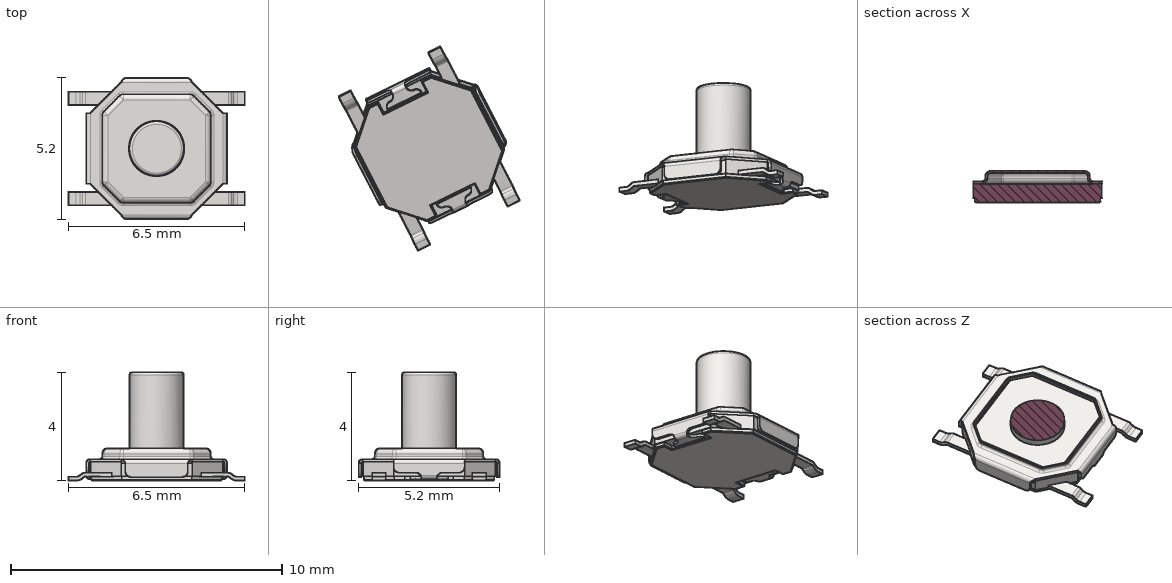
import cadquery as cq
import math


OVERALL_LENGTH = 6.5
OVERALL_WIDTH = 5.2
OVERALL_HEIGHT = 4.0

CORE_HALF = 2.445
FLAT_HALF = 1.305

SHEET = 0.105
PLATE_TOP = 0.8
DOME_TOP = 1.195
DOME_HALF = 2.0
DOME_RIM_RADIUS = 0.2
DOME_FOOT_RADIUS = 0.1
PLUNGER_HOLE_DIAMETER = 2.05

FLAP_CORNER_RADIUS = 0.2
CLIP_FLAP_BOTTOM = 0.3
PLAIN_FLAP_BOTTOM = 0.135
CLIP_BOTTOM = 0.05
CLIP_NECK_HALF = 0.28
CLIP_NECK_FILLET = 0.22
CLIP_HEAD_HALF = 0.7
CLIP_HEAD_CORNER = 0.2
CLIP_TIP = 2.0

FOOT_INSET = 0.04
FOOT_CHAMFER = 0.04
RECESS_HALF_WIDTH = 0.89
RECESS_BACK = 1.95

PLUNGER_DIAMETER = 2.0
PLUNGER_TIP_RADIUS = 0.1

LEAD_THICKNESS = 0.15
LEAD_RISE = 0.15
LEAD_INNER_SIDE = 1.6
LEAD_OUTER_SIDE = 2.1
LEAD_ROOT = 1.56
LEAD_FOOT_LENGTH = 0.28
LEAD_ANGLE = 37.0
LOWER_BEND_RADIUS = 0.23
UPPER_BEND_RADIUS = 0.19

FLAP_OUTER = OVERALL_WIDTH / 2
FLAP_INNER = FLAP_OUTER - SHEET
BEND_OUTER_RADIUS = FLAP_OUTER - CORE_HALF
BEND_INNER_RADIUS = BEND_OUTER_RADIUS - SHEET
PLATE_BOTTOM = PLATE_TOP - SHEET
UPPER_BEND_Z = PLATE_TOP - BEND_OUTER_RADIUS
CLIP_TOP = CLIP_BOTTOM + SHEET
CLIP_BEND_Z = CLIP_BOTTOM + BEND_OUTER_RADIUS
PLAIN_FLAP_HALF = FLAT_HALF - BEND_OUTER_RADIUS
DIAGONAL = math.sqrt(0.5)
PICK_MARGIN = 0.005


def octagon(half, flat_half, bottom, top):
    """Octagonal prism with straight sides of length 2 * flat_half and diagonal corners."""
    corner = half - flat_half
    return (
        cq.Workplane("XY")
        .workplane(offset=bottom)
        .rect(2 * half, 2 * half)
        .extrude(top - bottom)
        .edges("|Z")
        .chamfer(corner)
    )


def box(x_range, y_range, z_range):
    """Axis-aligned box from its three (low, high) ranges."""
    low, high = zip(x_range, y_range, z_range)
    size = [end - start for start, end in zip(low, high)]
    return cq.Workplane("XY").box(*size, centered=False).translate(low)


def stepped_form(half, rim_radius, foot_z, foot_radius, top):
    """Wide slab up to foot_z that carries an octagonal dome, with the rim, corners and foot rounded."""
    dome = octagon(half, FLAT_HALF, 0, top).edges("|Z or >Z").fillet(rim_radius)
    slab = box((-FLAP_OUTER, FLAP_OUTER), (-FLAP_OUTER, FLAP_OUTER), (0, foot_z))
    reach = half + foot_radius
    foot_edges = cq.selectors.BoxSelector(
        (-reach, -reach, foot_z - PICK_MARGIN), (reach, reach, foot_z + PICK_MARGIN)
    )
    return slab.union(dome).edges(foot_edges).fillet(foot_radius)


def dome_plate():
    """Octagonal plate with a hollow raised dome of even sheet thickness."""
    upper_form = stepped_form(DOME_HALF, DOME_RIM_RADIUS, PLATE_TOP, DOME_FOOT_RADIUS, DOME_TOP)
    lower_form = stepped_form(
        DOME_HALF - SHEET,
        DOME_RIM_RADIUS - SHEET,
        PLATE_BOTTOM,
        DOME_FOOT_RADIUS + SHEET,
        DOME_TOP - SHEET,
    )
    sheet = upper_form.cut(lower_form).intersect(octagon(CORE_HALF, FLAT_HALF, 0, DOME_TOP))
    hole = cq.Workplane("XY").circle(PLUNGER_HOLE_DIAMETER / 2).extrude(OVERALL_HEIGHT)
    return sheet.cut(hole)


def upper_bend_outline():
    """XZ outline of the sheet from the plate edge round the bend, open at the flap's lower end."""
    outer_mid = BEND_OUTER_RADIUS * DIAGONAL
    return (
        cq.Workplane("XZ")
        .moveTo(CORE_HALF, PLATE_TOP)
        .threePointArc((CORE_HALF + outer_mid, UPPER_BEND_Z + outer_mid), (FLAP_OUTER, UPPER_BEND_Z))
    )


def close_upper_bend(outline):
    """Finish the outline up the flap's inner face and back round the inside of the bend."""
    inner_mid = BEND_INNER_RADIUS * DIAGONAL
    return (
        outline.lineTo(FLAP_INNER, UPPER_BEND_Z)
        .threePointArc((CORE_HALF + inner_mid, UPPER_BEND_Z + inner_mid), (CORE_HALF, PLATE_BOTTOM))
        .close()
        .extrude(FLAT_HALF, both=True)
    )


def clip_flap():
    """Flap on the +X side with a T-shaped clip folded inward under the base."""
    outer_mid = BEND_OUTER_RADIUS * DIAGONAL
    inner_mid = BEND_INNER_RADIUS * DIAGONAL
    folded_outline = (
        upper_bend_outline()
        .lineTo(FLAP_OUTER, CLIP_BEND_Z)
        .threePointArc((CORE_HALF + outer_mid, CLIP_BEND_Z - outer_mid), (CORE_HALF, CLIP_BOTTOM))
        .lineTo(CORE_HALF, CLIP_TOP)
        .threePointArc((CORE_HALF + inner_mid, CLIP_BEND_Z - inner_mid), (FLAP_INNER, CLIP_BEND_Z))
    )
    folded = close_upper_bend(folded_outline)
    wide = box(
        (CORE_HALF, FLAP_OUTER), (-FLAT_HALF, FLAT_HALF), (CLIP_FLAP_BOTTOM, PLATE_TOP)
    ).edges("|X and <Z").fillet(FLAP_CORNER_RADIUS)
    neck = box((CORE_HALF, FLAP_OUTER), (-CLIP_NECK_HALF, CLIP_NECK_HALF), (0, PLATE_TOP))
    neck_roots = cq.selectors.BoxSelector(
        (CORE_HALF, -CLIP_NECK_HALF - PICK_MARGIN, CLIP_FLAP_BOTTOM - PICK_MARGIN),
        (FLAP_OUTER, CLIP_NECK_HALF + PICK_MARGIN, CLIP_FLAP_BOTTOM + PICK_MARGIN),
    )
    face = wide.union(neck).edges(neck_roots).edges("|X").fillet(CLIP_NECK_FILLET)

    return folded.intersect(face).union(clip_head())


def clip_head():
    """Flat T-shaped end of the clip, lying in the recess of the +X side of the base."""
    shoulder = CORE_HALF - CLIP_NECK_FILLET
    head = box(
        (CLIP_TIP, shoulder), (-CLIP_HEAD_HALF, CLIP_HEAD_HALF), (CLIP_BOTTOM, CLIP_TOP)
    ).edges("|Z and >X").fillet(CLIP_HEAD_CORNER)
    spread_half = CLIP_NECK_HALF + CLIP_NECK_FILLET
    spread = box((shoulder, CORE_HALF), (-spread_half, spread_half), (CLIP_BOTTOM, CLIP_TOP))
    rounds = (
        cq.Workplane("XY")
        .pushPoints([(CORE_HALF, -spread_half), (CORE_HALF, spread_half)])
        .circle(CLIP_NECK_FILLET)
        .extrude(PLATE_TOP)
    )
    return head.union(spread.cut(rounds))


def plain_flap():
    """Flap for a Y side, built on the +X side: it narrows evenly round the bend."""
    bend = close_upper_bend(upper_bend_outline())
    bend_middle = CORE_HALF + BEND_OUTER_RADIUS * DIAGONAL
    middle_half = (FLAT_HALF + PLAIN_FLAP_HALF) / 2
    narrowing = (
        cq.Workplane("XY")
        .moveTo(CORE_HALF, -FLAT_HALF)
        .threePointArc((bend_middle, -middle_half), (FLAP_OUTER, -PLAIN_FLAP_HALF))
        .lineTo(FLAP_OUTER, PLAIN_FLAP_HALF)
        .threePointArc((bend_middle, middle_half), (CORE_HALF, FLAT_HALF))
        .close()
        .extrude(PLATE_TOP)
    )
    face = box(
        (FLAP_INNER, FLAP_OUTER), (-PLAIN_FLAP_HALF, PLAIN_FLAP_HALF), (PLAIN_FLAP_BOTTOM, UPPER_BEND_Z)
    ).edges("|X and <Z").fillet(FLAP_CORNER_RADIUS)
    return bend.intersect(narrowing).union(face)


def make_cover():
    cover = dome_plate()
    for flap, first_angle in ((clip_flap(), 0), (plain_flap(), 90)):
        for angle in (first_angle, first_angle + 180):
            cover = cover.union(flap.rotate((0, 0, 0), (0, 0, 1), angle))
    return cover


def base_block():
    """Octagonal block on an inset foot that is recessed for the clips."""
    foot_flat_half = FLAT_HALF - FOOT_INSET * math.tan(math.pi / 8)
    foot = octagon(CORE_HALF - FOOT_INSET, foot_flat_half, 0, CLIP_TOP)
    recess_y = (-RECESS_HALF_WIDTH, RECESS_HALF_WIDTH)
    for recess_x in ((-CORE_HALF, -RECESS_BACK), (RECESS_BACK, CORE_HALF)):
        foot = foot.cut(box(recess_x, recess_y, (0, CLIP_TOP)))
    foot = foot.faces("<Z").chamfer(FOOT_CHAMFER)
    return foot.union(octagon(CORE_HALF, FLAT_HALF, CLIP_TOP, PLATE_BOTTOM))


def lead():
    """Lead on the +X, +Y corner: soldering foot, two bends and a raised part rooted in the base."""
    angle = math.radians(LEAD_ANGLE)

    def on_arc(centre, radius, direction):
        return (centre[0] + radius * math.cos(direction), centre[1] + radius * math.sin(direction))

    up = math.pi / 2
    tip = OVERALL_LENGTH / 2
    raised_top = LEAD_THICKNESS + LEAD_RISE
    lower_centre = (tip - LEAD_FOOT_LENGTH, LEAD_THICKNESS + LOWER_BEND_RADIUS)
    lower_outer = LOWER_BEND_RADIUS + LEAD_THICKNESS
    upper_inner = UPPER_BEND_RADIUS - LEAD_THICKNESS
    bend_rise = (LOWER_BEND_RADIUS + UPPER_BEND_RADIUS) * (1 - math.cos(angle))
    slope_run = (LEAD_RISE - bend_rise) / math.tan(angle)
    bend_run = (LOWER_BEND_RADIUS + UPPER_BEND_RADIUS) * math.sin(angle)
    upper_centre = (lower_centre[0] - bend_run - slope_run, raised_top - UPPER_BEND_RADIUS)

    return (
        cq.Workplane("XZ")
        .moveTo(tip, 0)
        .lineTo(tip, LEAD_THICKNESS)
        .lineTo(lower_centre[0], LEAD_THICKNESS)
        .threePointArc(
            on_arc(lower_centre, LOWER_BEND_RADIUS, -up - angle / 2),
            on_arc(lower_centre, LOWER_BEND_RADIUS, -up - angle),
        )
        .lineTo(*on_arc(upper_centre, UPPER_BEND_RADIUS, up - angle))
        .threePointArc(
            on_arc(upper_centre, UPPER_BEND_RADIUS, up - angle / 2),
            (upper_centre[0], raised_top),
        )
        .lineTo(LEAD_ROOT, raised_top)
        .lineTo(LEAD_ROOT, LEAD_RISE)
        .lineTo(upper_centre[0], LEAD_RISE)
        .threePointArc(
            on_arc(upper_centre, upper_inner, up - angle / 2),
            on_arc(upper_centre, upper_inner, up - angle),
        )
        .lineTo(*on_arc(lower_centre, lower_outer, -up - angle))
        .threePointArc(
            on_arc(lower_centre, lower_outer, -up - angle / 2),
            (lower_centre[0], 0),
        )
        .close()
        .extrude(LEAD_INNER_SIDE - LEAD_OUTER_SIDE)
        .translate((0, LEAD_INNER_SIDE, 0))
    )


def plunger():
    """Round push button standing on the base, with a rounded tip."""
    return (
        cq.Workplane("XY")
        .workplane(offset=PLATE_BOTTOM)
        .circle(PLUNGER_DIAMETER / 2)
        .extrude(OVERALL_HEIGHT - PLATE_BOTTOM)
        .faces(">Z")
        .edges()
        .fillet(PLUNGER_TIP_RADIUS)
    )


def make_base():
    base = base_block().union(plunger())
    right_leads = lead().union(lead().mirror("XZ"))
    return base.union(right_leads).union(right_leads.mirror("YZ"))


cover = make_cover().solids()
base = make_base().solids()

result = cq.Compound.makeCompound([cover.val(), base.val()])